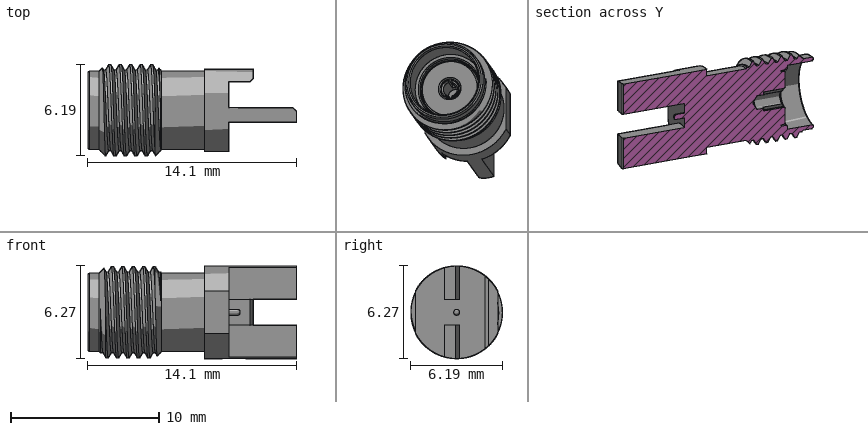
import cadquery as cq
import math


body_radius = 2.66
body_chamfer = 0.11
flange_start = 7.86
flange_end = 9.51
flange_radius = 3.135
flange_half_width = 2.786

thread_start = 0.77
thread_end = 4.98
thread_crest_radius = 3.095
thread_root_radius = 2.735
inch = 25.4
threads_per_inch = 36
thread_pitch = inch / threads_per_inch
thread_root_flat = 0.15
thread_flank_angle = math.radians(30)
groove_overshoot = 0.1
groove_turns = 8
groove_start = 0.25

bore_radius = 2.34
bore_chamfer = 0.09
bore_depth = 1.92
seat_radius = 2.04
seat_chamfer = 0.09

dielectric_radius = 1.98
dielectric_chamfer = 0.1
dielectric_setback = 0.15
dielectric_face = bore_depth + dielectric_setback
gap_depth = 0.3

contact_radius = 0.68
countersink_depth = 0.1
contact_face = dielectric_face + countersink_depth
socket_radius = 0.48
socket_chamfer = 0.12
socket_depth = 2.0
socket_tip_angle = math.radians(59)
slot_width = 0.22
slot_depth = 1.5

pin_radius = 0.2
pin_length = 0.77
pin_fillet = 0.17

leg_end = 14.08
leg_front = -0.816
leg_back = 0.18
leg_gap = 1.74
leg_chamfer = 0.25
tab_end = 11.17
tab_inner = 1.917
tab_chamfer = 0.23


def turned(points):
    """Solid of revolution about X from (x, radius) points."""
    return cq.Workplane("XY").polyline(points).close().revolve(360, (0, 0, 0), (1, 0, 0))


def disc(start, end, radius):
    """Cylinder on the X axis from start to end."""
    return cq.Workplane("YZ", origin=(start, 0, 0)).circle(radius).extrude(end - start)


def box(x_range, y_range, z_range):
    """Box between the given limits on each axis."""
    corners = list(zip(x_range, y_range, z_range))
    sizes = [high - low for low, high in (x_range, y_range, z_range)]
    return cq.Workplane("XY").box(*sizes, centered=False).translate(corners[0])


def flange_outline(start, end):
    """Round bar with two flats facing -Y and +Y."""
    flats = (-flange_half_width, flange_half_width)
    height = (-flange_radius, flange_radius)
    return disc(start, end, flange_radius).intersect(box((start, end), flats, height))


def thread():
    """Right-handed V thread with 45 degree run-outs at both ends."""
    rise = thread_crest_radius - body_radius
    envelope = turned([
        (thread_start, 0),
        (thread_start, body_radius),
        (thread_start + rise, thread_crest_radius),
        (thread_end - rise, thread_crest_radius),
        (thread_end, body_radius),
        (thread_end, 0),
    ])
    outer_radius = thread_crest_radius + groove_overshoot
    root_half = thread_root_flat / 2
    outer_half = root_half + (outer_radius - thread_root_radius) * math.tan(thread_flank_angle)
    helix = cq.Wire.makeHelix(thread_pitch, groove_turns * thread_pitch, thread_root_radius)
    groove = (
        cq.Workplane("XZ")
        .polyline([
            (thread_root_radius, -root_half),
            (outer_radius, -outer_half),
            (outer_radius, outer_half),
            (thread_root_radius, root_half),
        ])
        .close()
        .sweep(cq.Workplane(helix), isFrenet=True)
        .rotate((0, 0, 0), (0, 1, 0), 90)
        .translate((groove_start, 0, 0))
    )
    rod_end = groove_start + (groove_turns + 1) * thread_pitch
    rod = disc(groove_start - thread_pitch, rod_end, thread_crest_radius).cut(groove)
    return rod.intersect(envelope)


def shell():
    """Body with its threaded nose and rear flange, still without the mating bore."""
    barrel = disc(0, flange_end, body_radius).faces("<X").edges().chamfer(body_chamfer)
    return barrel.union(thread()).union(flange_outline(flange_start, flange_end))


def mating_bore():
    """Stepped and chamfered bore that surrounds the dielectric."""
    return turned([
        (0, 0),
        (0, bore_radius + bore_chamfer),
        (bore_chamfer, bore_radius),
        (bore_depth, bore_radius),
        (bore_depth, seat_radius + seat_chamfer),
        (bore_depth + seat_chamfer, seat_radius),
        (dielectric_face + gap_depth, seat_radius),
        (dielectric_face + gap_depth, 0),
    ])


def dielectric():
    """Insulator disc, countersunk down to the recessed contact face."""
    insulator = disc(dielectric_face, flange_start, dielectric_radius)
    insulator = insulator.faces("<X").edges().chamfer(dielectric_chamfer)
    countersink = turned([
        (dielectric_face, 0),
        (dielectric_face, contact_radius + countersink_depth),
        (contact_face, contact_radius),
        (contact_face, 0),
    ])
    return insulator.cut(countersink)


def contact_socket():
    """Blind socket with a drilled tip, and one slot across the contact along Z."""
    socket_end = contact_face + socket_depth
    socket = turned([
        (contact_face, 0),
        (contact_face, socket_radius + socket_chamfer),
        (contact_face + socket_chamfer, socket_radius),
        (socket_end, socket_radius),
        (socket_end + socket_radius / math.tan(socket_tip_angle), 0),
    ])
    slot = box(
        (contact_face, contact_face + slot_depth),
        (-slot_width / 2, slot_width / 2),
        (-contact_radius, contact_radius),
    )
    return socket.union(slot.intersect(disc(contact_face, flange_start, contact_radius)))


def solder_pin():
    """Round-ended pin behind the flange."""
    pin = disc(flange_start, flange_end + pin_length, pin_radius)
    return pin.faces(">X").edges().fillet(pin_fillet)


def legs():
    """Two long legs, one above and one below the axis, with a chamfered end edge."""
    full_height = (-flange_radius, flange_radius)
    bar = box((flange_start, leg_end), (leg_front, leg_back), full_height)
    bar = bar.faces(">X").edges(">Y").chamfer(leg_chamfer)
    gap = box((flange_end, leg_end), (leg_front, leg_back), (-leg_gap / 2, leg_gap / 2))
    return bar.cut(gap).intersect(flange_outline(flange_start, leg_end))


def tab():
    """Short tab along the +Y flat, with a chamfered inner end edge."""
    full_height = (-flange_radius, flange_radius)
    bar = box((flange_start, tab_end), (tab_inner, flange_half_width), full_height)
    bar = bar.faces(">X").edges("<Y").chamfer(tab_chamfer)
    return bar.intersect(flange_outline(flange_start, tab_end))


result = (
    shell()
    .cut(mating_bore())
    .union(dielectric())
    .cut(contact_socket())
    .union(solder_pin())
    .union(legs())
    .union(tab())
)